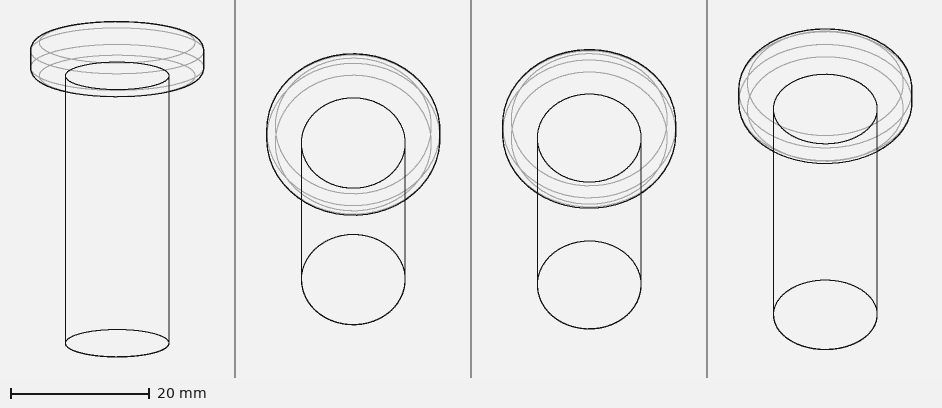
import cadquery as cq

total_length = 45.0
head_diameter = 25.0
head_height = 5.0
head_edge_radius = 1.25
shank_diameter = 15.0

shank_length = total_length - head_height

shank = cq.Workplane("XY").circle(shank_diameter / 2).extrude(shank_length)

head = (
    cq.Workplane("XY")
    .workplane(offset=shank_length)
    .circle(head_diameter / 2)
    .extrude(head_height)
    .edges("%CIRCLE")
    .fillet(head_edge_radius)
)

result = shank.union(head)